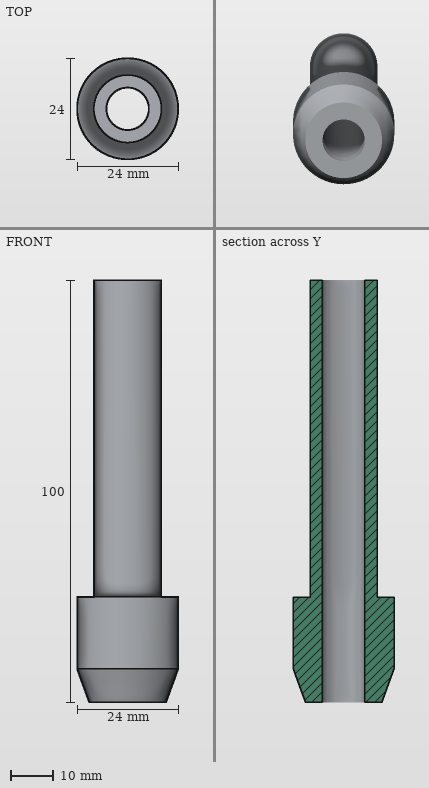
import cadquery as cq
import math

total_length = 100.0
bore_diameter = 10.0
tube_diameter = 16.0
collar_diameter = 24.0
collar_length = 25.0
nose_length = 8.0
nose_angle = 20.0

bore_radius = bore_diameter / 2
tube_radius = tube_diameter / 2
collar_radius = collar_diameter / 2
nose_tip_radius = collar_radius - nose_length * math.tan(math.radians(nose_angle))


def make_sleeve():
    """Revolve the half section: tapered nose at Z = 0, collar, then tube."""
    half_section = (
        cq.Workplane("XZ")
        .moveTo(bore_radius, 0)
        .lineTo(nose_tip_radius, 0)
        .lineTo(collar_radius, nose_length)
        .lineTo(collar_radius, collar_length)
        .lineTo(tube_radius, collar_length)
        .lineTo(tube_radius, total_length)
        .lineTo(bore_radius, total_length)
        .close()
    )
    return half_section.revolve(360, (0, 0, 0), (0, 1, 0))


result = make_sleeve()